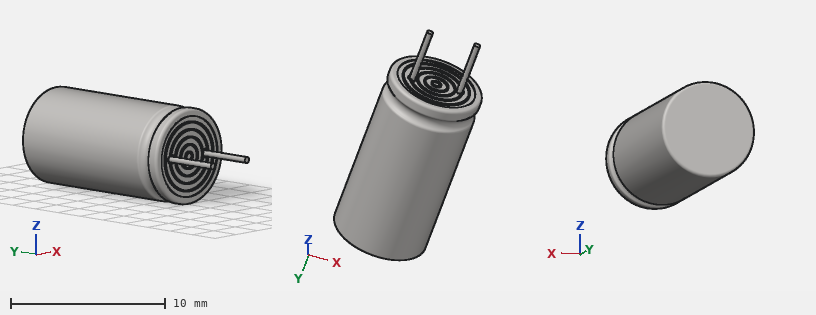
import cadquery as cq
import math

total_length = 15.57
can_length = 11.99
can_radius = 3.15
edge_radius = 0.2

crimp_position = 1.18
crimp_depth = 0.28
crimp_radius = 0.5

seal_diameter = 5.3
seal_recess = 0.1
ring_count = 5
ring_width = 0.097
ring_height = 0.08
first_ring_diameter = 0.5
last_ring_diameter = 4.4

lead_diameter = 0.4
lead_spacing = 3.2
pocket_diameter = 0.6
pocket_depth = 0.08

lead_centers = [-lead_spacing / 2, lead_spacing / 2]
pocket_floor = seal_recess + pocket_depth


def cylinder(diameter, x, y_start, y_end):
    """Cylinder along Y from y_start up to y_end, centred on (x, z = 0)."""
    return cq.Workplane("XZ", origin=(x, y_start, 0)).circle(diameter / 2).extrude(y_start - y_end)


def make_blank():
    """Solid can with rounded ends and the crimp groove, turned around Y."""
    shoulder_radius = can_radius - edge_radius
    crimp_floor = can_radius - crimp_depth
    crimp_center = crimp_floor + crimp_radius

    center_distance = crimp_radius + edge_radius
    radial_gap = crimp_center - shoulder_radius
    shoulder_offset = math.sqrt(center_distance**2 - radial_gap**2)
    touch_radius = crimp_center - radial_gap * crimp_radius / center_distance
    touch_offset = shoulder_offset * crimp_radius / center_distance

    lower_shoulder = crimp_position - shoulder_offset
    upper_shoulder = crimp_position + shoulder_offset
    lower_touch = crimp_position - touch_offset
    upper_touch = crimp_position + touch_offset

    return (
        cq.Workplane("XY")
        .lineTo(shoulder_radius, 0)
        .radiusArc((can_radius, edge_radius), -edge_radius)
        .lineTo(can_radius, lower_shoulder)
        .radiusArc((touch_radius, lower_touch), -edge_radius)
        .threePointArc((crimp_floor, crimp_position), (touch_radius, upper_touch))
        .radiusArc((can_radius, upper_shoulder), -edge_radius)
        .lineTo(can_radius, can_length - edge_radius)
        .radiusArc((shoulder_radius, can_length), -edge_radius)
        .lineTo(0, can_length)
        .close()
        .revolve(360, (0, 0, 0), (0, 1, 0))
    )


def make_ring(inner_diameter):
    """Raised ring on the seal face."""
    ring_top = seal_recess - ring_height
    outer = cylinder(inner_diameter + 2 * ring_width, 0, ring_top, seal_recess)
    return outer.cut(cylinder(inner_diameter, 0, ring_top, seal_recess))


def make_can():
    """Can with its recessed seal face, the rings on it and the lead pockets."""
    can = make_blank().cut(cylinder(seal_diameter, 0, 0, seal_recess))

    ring_step = (last_ring_diameter - first_ring_diameter) / (ring_count - 1)
    for index in range(ring_count):
        can = can.union(make_ring(first_ring_diameter + index * ring_step))

    for x in lead_centers:
        can = can.cut(cylinder(pocket_diameter, x, 0, pocket_floor))
    return can


def make_lead(x):
    """Straight wire from the pocket floor to the lead tip."""
    tip = can_length - total_length
    return cylinder(lead_diameter, x, tip, pocket_floor)


can = make_can().solids()
leads = [make_lead(x) for x in lead_centers]

result = cq.Compound.makeCompound([can.val(), *[lead.val() for lead in leads]])